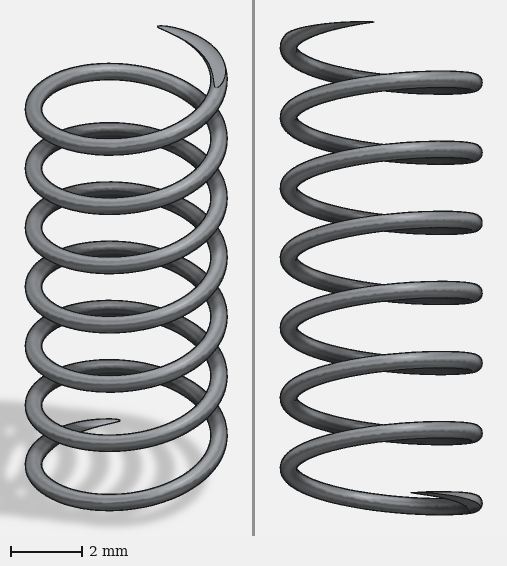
import cadquery as cq

outer_diameter = 5.67
wire_diameter = 0.47
pitch = 2.0
free_height = 13.4

end_allowance_turns = 0.5

wire_radius = wire_diameter / 2
coil_radius = outer_diameter / 2 - wire_radius
end_allowance = end_allowance_turns * pitch


def make_coil():
    """Overlong coil whose centreline starts on the +X side, below the base."""
    start = cq.Vector(0, 0, -end_allowance)
    coil_height = free_height + 2 * end_allowance
    centreline = cq.Wire.makeHelix(pitch, coil_height, coil_radius, center=start)
    return (
        cq.Workplane("XZ", origin=start.toTuple())
        .center(coil_radius, 0)
        .circle(wire_radius)
        .sweep(cq.Workplane(obj=centreline), isFrenet=True)
    )


def make_ground_envelope():
    """Cylinder wider than the coil, spanning the height between the two ground end planes."""
    envelope_radius = outer_diameter
    return cq.Workplane("XY").circle(envelope_radius).extrude(free_height)


result = make_coil().intersect(make_ground_envelope())